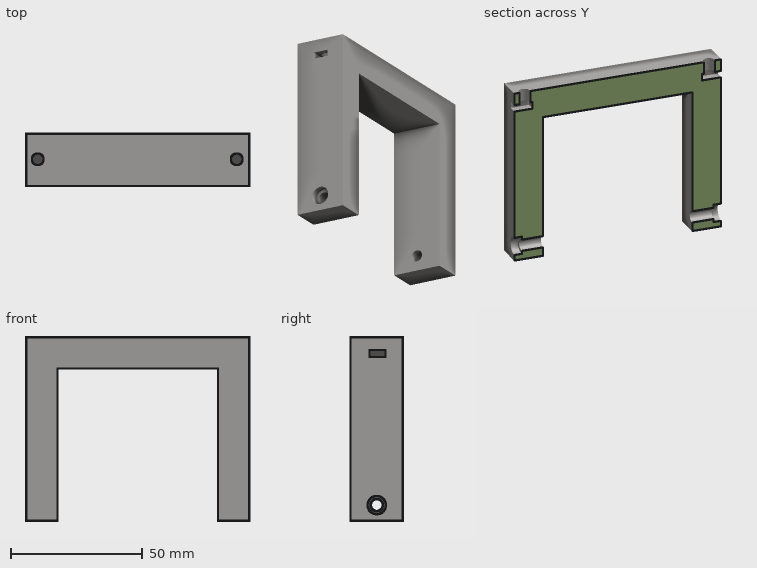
import cadquery as cq

length = 85.0
width = 20.0
height = 70.0
bar_thickness = 12.0
opening_length = length - 2 * bar_thickness
opening_height = height - bar_thickness

foot_hole_diameter = 4.5
foot_hole_height = 6.0
counterbore_diameter = 7.0
counterbore_depth = 3.0

top_hole_diameter = 4.48
top_hole_spacing = 75.8
top_pair_offset_x = -0.2
top_pair_offset_y = 0.25

pocket_width = 6.1
pocket_height = 2.5
pocket_roof = 5.0
pocket_center_height = height - pocket_roof - pocket_height / 2
top_hole_depth = pocket_roof


def make_frame():
    block = cq.Workplane("XY").box(length, width, height, centered=(True, True, False))
    opening = cq.Workplane("XY").box(opening_length, width, opening_height, centered=(True, True, False))
    return block.cut(opening)


def make_foot_hole(side):
    """Counterbored hole through one leg; side is -1 for the -X leg, +1 for the +X leg."""
    foot_axis = cq.Workplane("YZ", origin=(side * length / 2, 0, foot_hole_height))
    hole = foot_axis.circle(foot_hole_diameter / 2).extrude(-side * bar_thickness)
    counterbore = foot_axis.circle(counterbore_diameter / 2).extrude(-side * counterbore_depth)
    return hole.union(counterbore)


def make_top_hole_and_pocket(side):
    """Top hole and the side pocket it opens into; side as for the foot hole."""
    hole_x = top_pair_offset_x + side * top_hole_spacing / 2
    hole = (
        cq.Workplane("XY", origin=(hole_x, top_pair_offset_y, height))
        .circle(top_hole_diameter / 2)
        .extrude(-top_hole_depth)
    )

    outer_face_x = side * length / 2
    pocket_depth = abs(outer_face_x - hole_x) + pocket_width / 2
    pocket = (
        cq.Workplane("YZ", origin=(outer_face_x, top_pair_offset_y, pocket_center_height))
        .rect(pocket_width, pocket_height)
        .extrude(-side * pocket_depth)
    )
    return hole.union(pocket)


result = make_frame()
for side in (-1, 1):
    result = result.cut(make_foot_hole(side))
    result = result.cut(make_top_hole_and_pocket(side))